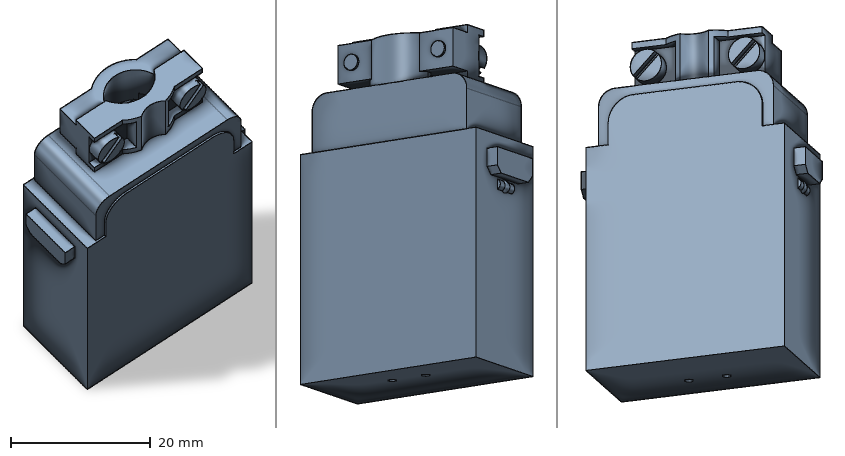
import cadquery as cq

body_x = 14.6
body_y = 30.3
body_z = 33.8

cap_x = 14.0
cap_y = 26.7
cap_top = 42.35
cap_round = 2.55

plate_y = 23.5
plate_top = 40.9
plate_round = 3.9

pad_out = 1.75
pad_bottom = 27.55
pad_top = 31.25
pad_corner = 1.0
front_pad_x = 8.9
back_pad_x = 6.9

pin_length = 3.65
pin_radius = 0.8
pin_z = 26.5
bead_radius = 1.0
pin_sink = 0.3

clamp_y = 19.85
clamp_top = 50.65
free_half_bottom = 42.6
held_half_top = 49.5
held_half_bottom = 43.8
clamp_left = -5.4
split_x = -1.75
tongue_right = -0.4
clamp_right = 2.45
bore_left = -5.05
bore_right = 1.0
bore_half_y = 4.4

wall_left = -6.95
wall_radius = 6.45
saddle_half_y = 5.0
saddle_right = -3.8

bulge_half_y = 4.75
bulge_tip_x = 3.6
bulge_tip_y = 2.2
hollow_x = 2.85

screw_y = 7.5
screw_z = (held_half_top + held_half_bottom) / 2
shank_radius = 1.15
shank_end = -5.75
head_radius = 2.4
head_seat = 1.2
head_end = 3.3
recess_z = 6.1
recess_end_y = 2.95
slot_width = 0.8
slot_depth = 0.95
slot_angle = 45

dip_right = -4.25
dip_left = -5.55
dip_radius = 7.6
dip_depth = 0.5
wire_hole_radius = 0.6
wire_hole_x = -2.0
wire_hole_y = 2.9


def box(x0, x1, y_size, z0, z1):
    """Box symmetric about the XZ plane."""
    block = cq.Workplane("XY").box(x1 - x0, y_size, z1 - z0, centered=False)
    return block.translate((x0, -y_size / 2, z0))


def x_cylinder(radius, x0, x1, y, z):
    return cq.Workplane("YZ", origin=(x0, y, z)).circle(radius).extrude(x1 - x0)


def housing():
    body = box(-body_x / 2, body_x / 2, body_y, 0, body_z)
    cap = box(-cap_x / 2, cap_x / 2, cap_y, body_z, cap_top).edges("|X and >Z").fillet(cap_round)
    plate = box(cap_x / 2, body_x / 2, plate_y, body_z, plate_top).edges("|X and >Z").fillet(plate_round)
    return body.union(cap).union(plate)


def pad(width, side):
    block = box(-width / 2, width / 2, 2 * pad_out, pad_bottom, pad_top)
    block = block.edges("|Y and <Z").chamfer(pad_corner)
    return block.translate((0, side * body_y / 2, 0))


def pin(side):
    y = side * (body_y / 2 - pin_sink)
    rod = x_cylinder(pin_radius, -pin_length / 2, pin_length / 2, y, pin_z)
    bead = cq.Workplane("XY").sphere(bead_radius).translate((0, y, pin_z))
    return rod.union(bead)


def held_half():
    block = box(clamp_left, split_x, clamp_y, held_half_bottom, held_half_top)
    wall_centre = wall_left + wall_radius
    wall = (
        cq.Workplane("XY", origin=(wall_centre, 0, cap_top))
        .circle(wall_radius)
        .extrude(held_half_top - cap_top)
    )
    wall = wall.intersect(box(wall_left, saddle_right, 2 * saddle_half_y, cap_top, held_half_top))
    return block.union(wall)


def free_half():
    outline = (
        cq.Workplane("XY", origin=(0, 0, free_half_bottom))
        .moveTo(split_x, -clamp_y / 2)
        .lineTo(clamp_right, -clamp_y / 2)
        .lineTo(clamp_right, -bulge_half_y)
        .radiusArc((bulge_tip_x, -bulge_tip_y), -wall_radius)
        .threePointArc((hollow_x, 0), (bulge_tip_x, bulge_tip_y))
        .radiusArc((clamp_right, bulge_half_y), -wall_radius)
        .lineTo(clamp_right, clamp_y / 2)
        .lineTo(split_x, clamp_y / 2)
        .close()
    )
    return outline.extrude(clamp_top - free_half_bottom)


def bore():
    """Pointed bore of two arcs; between the flanges the left arc runs on to the tongue's end."""
    pointed = (
        cq.Workplane("XY", origin=(0, 0, cap_top))
        .moveTo(split_x, -bore_half_y)
        .threePointArc((bore_right, 0), (split_x, bore_half_y))
        .threePointArc((bore_left, 0), (split_x, -bore_half_y))
        .close()
        .extrude(clamp_top - cap_top)
    )
    arc_depth = split_x - bore_left
    left_radius = (arc_depth**2 + bore_half_y**2) / (2 * arc_depth)
    left_round = (
        cq.Workplane("XY", origin=(bore_left + left_radius, 0, held_half_bottom))
        .circle(left_radius)
        .extrude(held_half_top - held_half_bottom)
    )
    tongue_zone = box(bore_left, tongue_right, clamp_y, held_half_bottom, held_half_top)
    return pointed.union(left_round.intersect(tongue_zone))


def head_recess(side):
    """Square-ended recess for a screw head, open at the Y end and the +X side."""
    depth = bulge_tip_x - head_seat
    length = clamp_y / 2 - recess_end_y
    recess = cq.Workplane("XY").box(depth, length, recess_z)
    return recess.translate((head_seat + depth / 2, side * (recess_end_y + length / 2), screw_z))


def screw(side):
    shank = x_cylinder(shank_radius, shank_end, head_seat, side * screw_y, screw_z)
    head = x_cylinder(head_radius, head_seat, head_end, side * screw_y, screw_z)
    slot = cq.Workplane("XY").box(slot_depth, 2 * head_radius, slot_width)
    slot = slot.rotate((0, 0, 0), (1, 0, 0), slot_angle)
    slot = slot.translate((head_end - slot_depth / 2, side * screw_y, screw_z))
    return shank.union(head.cut(slot))


def clamp():
    shape = held_half().union(free_half()).cut(bore())
    for side in (-1, 1):
        shape = shape.cut(head_recess(side)).union(screw(side))
    return shape


def saddle_dip():
    """Shallow round-bottomed dip in the cap, beside the saddle wall inside the bore."""
    dip = x_cylinder(dip_radius, dip_left, dip_right, 0, cap_top - dip_depth + dip_radius)
    return dip.intersect(box(dip_left, dip_right, clamp_y, body_z, cap_top))


def wire_holes():
    centres = [(wire_hole_x, -wire_hole_y), (wire_hole_x, wire_hole_y)]
    return cq.Workplane("XY").pushPoints(centres).circle(wire_hole_radius).extrude(cap_top)


result = housing().cut(saddle_dip()).cut(wire_holes()).union(clamp())
for side, width in ((-1, front_pad_x), (1, back_pad_x)):
    result = result.union(pad(width, side)).union(pin(side))